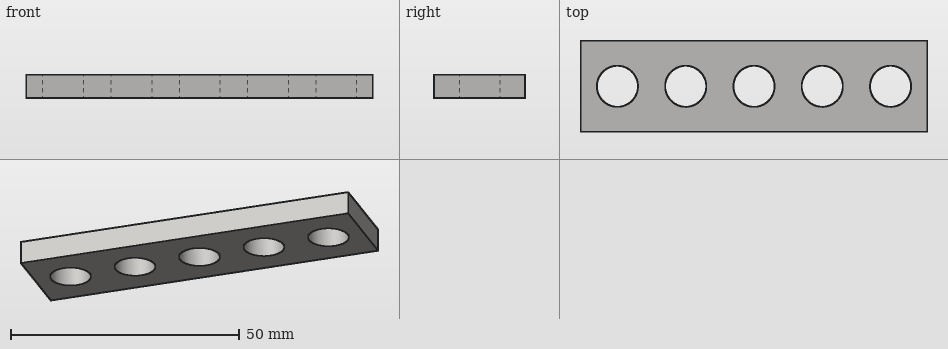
import cadquery as cq

length = 76.0
width = 20.0
thickness = 5.2

hole_count = 5
hole_diameter = 9.0
hole_pitch = 15.0

bar = cq.Workplane("XY").box(length, width, thickness)

result = (
    bar.faces(">Z")
    .workplane()
    .rarray(hole_pitch, width, hole_count, 1)
    .hole(hole_diameter)
)